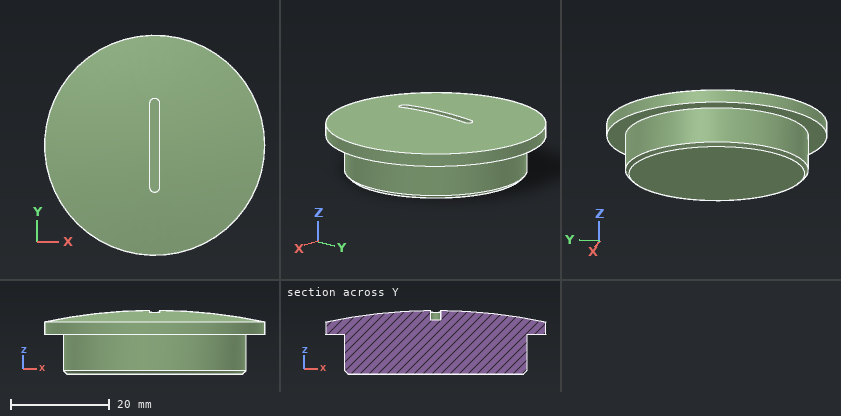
import cadquery as cq
import math

flange_diameter = 44.5
plug_diameter = 37.0
total_height = 12.95
plug_length = 8.0
flange_thickness = 2.6
chamfer_width = 0.75
chamfer_height = 0.75
slot_length = 19.0
slot_width = 2.0
slot_depth = 1.95

flange_radius = flange_diameter / 2
plug_radius = plug_diameter / 2
flange_top = plug_length + flange_thickness
dome_rise = total_height - flange_top
dome_radius = (flange_radius**2 + dome_rise**2) / (2 * dome_rise)
dome_center_z = total_height - dome_radius
arc_mid_x = flange_radius / 2
arc_mid_z = dome_center_z + math.sqrt(dome_radius**2 - arc_mid_x**2)


def make_body():
    """Revolve the plug, flange and domed head about the Z axis."""
    profile = (
        cq.Workplane("XZ")
        .moveTo(0, 0)
        .lineTo(plug_radius - chamfer_width, 0)
        .lineTo(plug_radius, chamfer_height)
        .lineTo(plug_radius, plug_length)
        .lineTo(flange_radius, plug_length)
        .lineTo(flange_radius, flange_top)
        .threePointArc((arc_mid_x, arc_mid_z), (0, total_height))
        .close()
    )
    return profile.revolve(360, (0, 0, 0), (0, 1, 0))


def make_driver_slot():
    """Round-ended slot along Y with a flat floor below the dome crown."""
    return (
        cq.Workplane("XY", origin=(0, 0, total_height - slot_depth))
        .slot2D(slot_length, slot_width, 90)
        .extrude(slot_depth)
    )


result = make_body().cut(make_driver_slot())